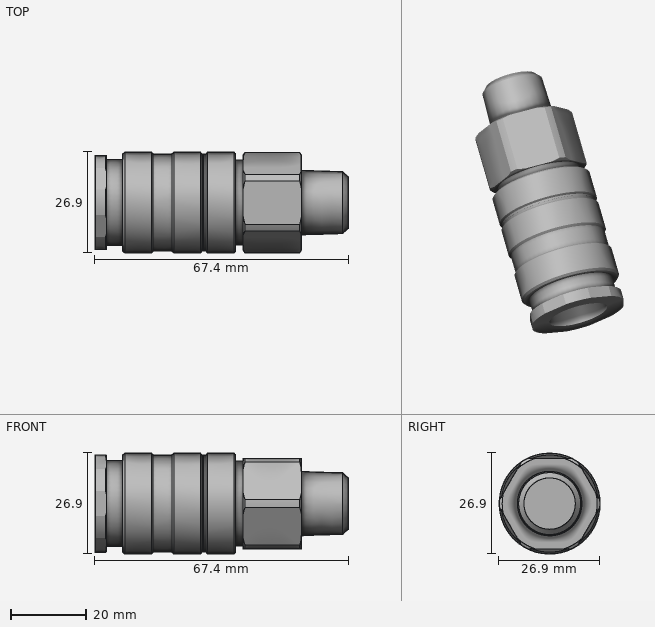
import cadquery as cq
import math

total_length = 67.4
collar_end = 3.0
sleeve_start = 7.35
sleeve_end = 37.4
nut_start = 39.45
nut_end = 54.95

collar_diameter = 25.95
collar_across_flats = 25.1
collar_rear_diameter = 25.6
collar_rear_bevel = 0.2
front_neck_diameter = 23.0

ring_diameter = 26.9
band_diameter = 25.9
wide_band = (15.45, 20.4)
narrow_band = (28.45, 29.55)
slit = (28.7, 29.05)
slit_diameter = 25.75
ring_start_chamfer = 0.6
ring_chamfer = 0.4
rear_neck_diameter = 22.7

nut_across_flats = 24.15
nut_corner_diameter = 26.8
nut_face_diameter = 25.3
nut_bevel_length = 0.5

taper_ratio = 1 / 16
spigot_root_diameter = 17.2
tip_diameter = 13.7
tip_chamfer_length = 1.55

mouth_diameter = 16.0
mouth_depth = 20.2
seat_diameter = 15.4
seat_angle = 110.0
pilot_diameter = 11.1
pilot_length = 6.75
drill_point_angle = 118.0


def revolve_profile(outer_points):
    """Revolve (x, radius) points, closed along the X axis."""
    first_x = outer_points[0][0]
    last_x = outer_points[-1][0]
    profile = [(first_x, 0)] + outer_points + [(last_x, 0)]
    return cq.Workplane("XY").polyline(profile).close().revolve(360, (0, 0, 0), (1, 0, 0))


def cylinder(start, end, diameter):
    return revolve_profile([(start, diameter / 2), (end, diameter / 2)])


def beveled_cylinder(start, end, diameter, face_diameter, start_bevel, end_bevel):
    return revolve_profile([
        (start, face_diameter / 2),
        (start + start_bevel, diameter / 2),
        (end - end_bevel, diameter / 2),
        (end, face_diameter / 2),
    ])


def hexagonal_bar(start, end, across_flats, turn):
    """Hexagonal bar along X; a turn of 0 puts corners on the Y axis."""
    across_corners = across_flats / math.cos(math.radians(30))
    bar = cq.Workplane("YZ", origin=(start, 0, 0)).polygon(6, across_corners).extrude(end - start)
    return bar.rotate((0, 0, 0), (1, 0, 0), turn)


def make_collar():
    flats = hexagonal_bar(0, collar_end, collar_across_flats, 30)
    turned_blank = revolve_profile([
        (0, collar_diameter / 2),
        (collar_end - collar_rear_bevel, collar_diameter / 2),
        (collar_end, collar_rear_diameter / 2),
    ])
    return turned_blank.intersect(flats)


def make_sleeve():
    sleeve = cylinder(sleeve_start, sleeve_end, band_diameter)
    rings = [
        (sleeve_start, wide_band[0], ring_start_chamfer),
        (wide_band[1], narrow_band[0], ring_start_chamfer),
        (narrow_band[1], sleeve_end, ring_chamfer),
    ]
    for start, end, start_bevel in rings:
        ring = beveled_cylinder(start, end, ring_diameter, band_diameter, start_bevel, ring_chamfer)
        sleeve = sleeve.union(ring)
    slit_ring = cylinder(*slit, ring_diameter).cut(cylinder(*slit, slit_diameter))
    return sleeve.cut(slit_ring)


def make_nut():
    turned_blank = beveled_cylinder(
        nut_start, nut_end, nut_corner_diameter, nut_face_diameter, nut_bevel_length, nut_bevel_length
    )
    return turned_blank.intersect(hexagonal_bar(nut_start, nut_end, nut_across_flats, 0))


def make_spigot():
    chamfer_start = total_length - tip_chamfer_length
    end_diameter = spigot_root_diameter - taper_ratio * (chamfer_start - nut_end)
    return revolve_profile([
        (nut_end, spigot_root_diameter / 2),
        (chamfer_start, end_diameter / 2),
        (total_length, tip_diameter / 2),
    ])


def make_bore():
    pilot_start = mouth_depth + (seat_diameter - pilot_diameter) / 2 / math.tan(math.radians(seat_angle / 2))
    pilot_end = pilot_start + pilot_length
    point_length = pilot_diameter / 2 / math.tan(math.radians(drill_point_angle / 2))
    profile = [
        (0, 0),
        (0, mouth_diameter / 2),
        (mouth_depth, mouth_diameter / 2),
        (mouth_depth, seat_diameter / 2),
        (pilot_start, pilot_diameter / 2),
        (pilot_end, pilot_diameter / 2),
        (pilot_end + point_length, 0),
    ]
    return cq.Workplane("XY").polyline(profile).close().revolve(360, (0, 0, 0), (1, 0, 0))


front_neck = cylinder(collar_end, sleeve_start, front_neck_diameter)
rear_neck = cylinder(sleeve_end, nut_start, rear_neck_diameter)

body = make_collar()
for section in (front_neck, make_sleeve(), rear_neck, make_nut(), make_spigot()):
    body = body.union(section)

result = body.cut(make_bore())